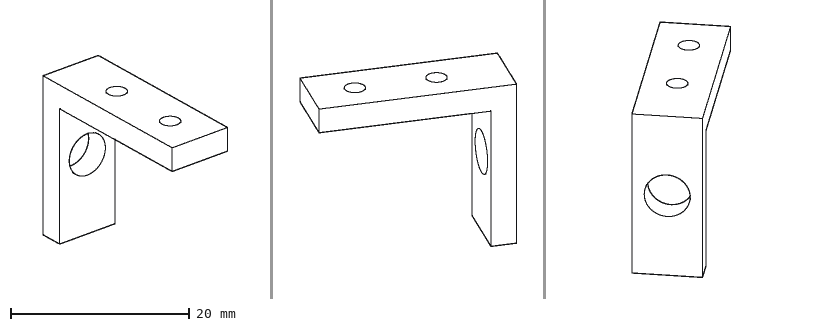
import cadquery as cq

length = 23.0
width = 8.0
height = 20.0
thickness = 3.0

small_hole_diameter = 2.4
first_hole_x = 8.2
hole_spacing = 9.5
large_hole_diameter = 5.2

profile = [
    (0, 0),
    (thickness, 0),
    (thickness, height - thickness),
    (length, height - thickness),
    (length, height),
    (0, height),
]
bracket = cq.Workplane("XZ").polyline(profile).close().extrude(width / 2, both=True)

small_holes = (
    cq.Workplane("XY", origin=(0, 0, height - thickness))
    .pushPoints([(first_hole_x, 0), (first_hole_x + hole_spacing, 0)])
    .circle(small_hole_diameter / 2)
    .extrude(thickness)
)

large_hole = (
    cq.Workplane("YZ")
    .center(0, height / 2)
    .circle(large_hole_diameter / 2)
    .extrude(thickness)
)

result = bracket.cut(small_holes).cut(large_hole)